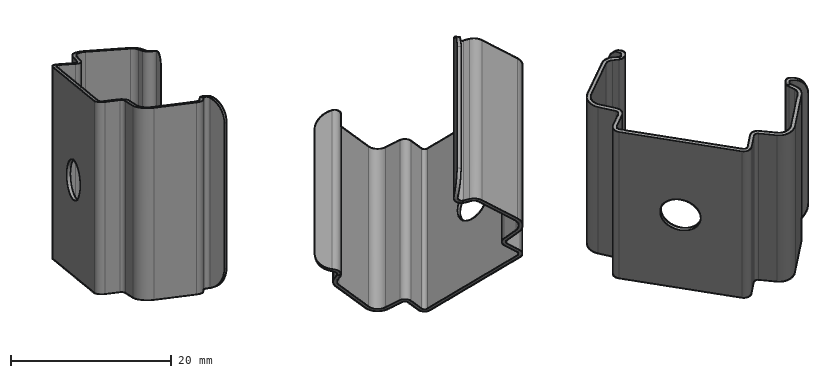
import cadquery as cq
import math

height = 25.0
sheet = 0.5
hole_diameter = 5.19
lip_corner_radius = 3.0

tight_bend = 0.75
shoulder_bend = 1.25
wide_bend = 1.75

draft = math.radians(5)
neck_slope = math.radians(21)
lip_slope = math.radians(35)

base_half_width = 8.7
step_height = 3.6
shelf_length = 4.8
wall_height = 8.3
neck_length = 2.98
lip_length = 3.62


def step_from(point, dx, dy):
    return point[0] + dx, point[1] + dy


base_middle = (0, sheet / 2)
base_corner = (-base_half_width, sheet / 2)
step_corner = step_from(base_corner, step_height * math.tan(draft), step_height)
shelf_corner = step_from(step_corner, -shelf_length, shelf_length * math.tan(draft))
shoulder = step_from(shelf_corner, wall_height * math.tan(draft), wall_height)
neck = step_from(shoulder, neck_length * math.cos(neck_slope), neck_length * math.sin(neck_slope))
lip_end = step_from(neck, -lip_length * math.cos(lip_slope), lip_length * math.sin(lip_slope))

path = [base_middle, base_corner, step_corner, shelf_corner, shoulder, neck, lip_end]
bend_radii = [tight_bend, tight_bend, wide_bend, shoulder_bend, tight_bend]


def sheet_side(offset):
    """Points of one sheet face, offset to the left of the path: start, bend arcs, end."""
    vectors = [cq.Vector(*point) for point in path]
    directions = [(b - a).normalized() for a, b in zip(vectors, vectors[1:])]
    normals = [cq.Vector(-d.y, d.x) for d in directions]

    bends = []
    for i, radius in enumerate(bend_radii):
        before, after = directions[i], directions[i + 1]
        turn = math.atan2(before.cross(after).z, before.dot(after))
        side = math.copysign(1, turn)
        setback = radius * math.tan(abs(turn) / 2)
        center = vectors[i + 1] - before * setback + normals[i] * (side * radius)
        face_radius = radius - side * offset
        outward = [normals[i], (normals[i] + normals[i + 1]).normalized(), normals[i + 1]]
        bends.append([center - n * (side * face_radius) for n in outward])
    return vectors[0] + normals[0] * offset, bends, vectors[-1] + normals[-1] * offset


def make_half():
    start, bends, end = sheet_side(sheet / 2)
    profile = cq.Workplane("XY").moveTo(start.x, start.y)
    for entry, middle, leave in bends:
        profile = profile.lineTo(entry.x, entry.y).threePointArc(middle.toTuple()[:2], leave.toTuple()[:2])
    profile = profile.lineTo(end.x, end.y)

    start, bends, end = sheet_side(-sheet / 2)
    profile = profile.lineTo(end.x, end.y)
    for entry, middle, leave in reversed(bends):
        profile = profile.lineTo(leave.x, leave.y).threePointArc(middle.toTuple()[:2], entry.toTuple()[:2])
    return profile.lineTo(start.x, start.y).close().extrude(height)


def lip_corner_cutter():
    """Waste outside the rounded corner at the bottom of the lip, square to the lip."""
    radius = lip_corner_radius
    toward_neck = cq.Vector(math.cos(lip_slope), -math.sin(lip_slope))
    square_to_lip = cq.Vector(math.sin(lip_slope), math.cos(lip_slope))
    plane = cq.Plane(origin=lip_end, xDir=toward_neck, normal=square_to_lip)
    arc_middle = radius * (1 - math.sqrt(0.5))
    return (
        cq.Workplane(plane)
        .moveTo(0, 0)
        .lineTo(radius, 0)
        .threePointArc((arc_middle, -arc_middle), (0, -radius))
        .close()
        .extrude(2 * sheet, both=True)
    )


half = make_half()
bottom_cutter = lip_corner_cutter()
top_cutter = bottom_cutter.mirror("XY", (0, 0, height / 2))
half = half.cut(bottom_cutter).cut(top_cutter)

hole = (
    cq.Workplane("XZ")
    .center(0, height / 2)
    .circle(hole_diameter / 2)
    .extrude(-2 * sheet)
)
result = half.union(half.mirror("YZ")).clean().cut(hole)